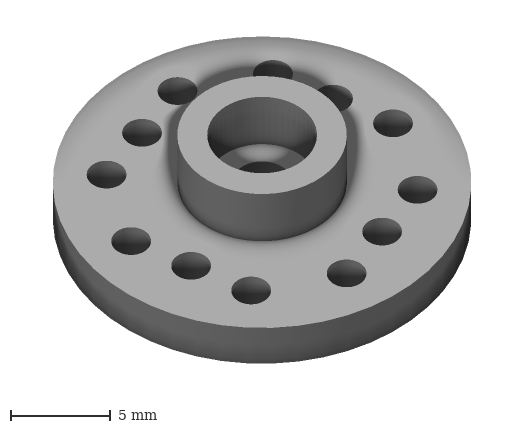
import cadquery as cq

flange_diameter = 21.0
total_height = 5.8
flange_thickness = 2.5
hub_diameter = 8.5

bore_diameter = 3.0
counterbore_diameter = 5.5
counterbore_depth = total_height - flange_thickness

mount_hole_diameter = 2.0
row_offset = 7.0
hole_pitch = row_offset / 2


def make_body():
    """Round flange with a concentric hub on top, base at Z = 0."""
    flange = cq.Workplane("XY").circle(flange_diameter / 2).extrude(flange_thickness)
    hub = cq.Workplane("XY").circle(hub_diameter / 2).extrude(total_height)
    return flange.union(hub)


def make_stepped_bore():
    """Through bore, widened from the top of the hub."""
    bore = cq.Workplane("XY").circle(bore_diameter / 2).extrude(total_height)
    counterbore = (
        cq.Workplane("XY", origin=(0, 0, total_height - counterbore_depth))
        .circle(counterbore_diameter / 2)
        .extrude(counterbore_depth)
    )
    return bore.union(counterbore)


def make_mount_holes():
    """Twelve through holes, three on each side of the hub."""
    centers = []
    for side in (-row_offset, row_offset):
        for along in (-hole_pitch, 0, hole_pitch):
            centers.append((along, side))
            centers.append((side, along))
    return (
        cq.Workplane("XY")
        .pushPoints(centers)
        .circle(mount_hole_diameter / 2)
        .extrude(flange_thickness)
    )


result = make_body().cut(make_stepped_bore()).cut(make_mount_holes())